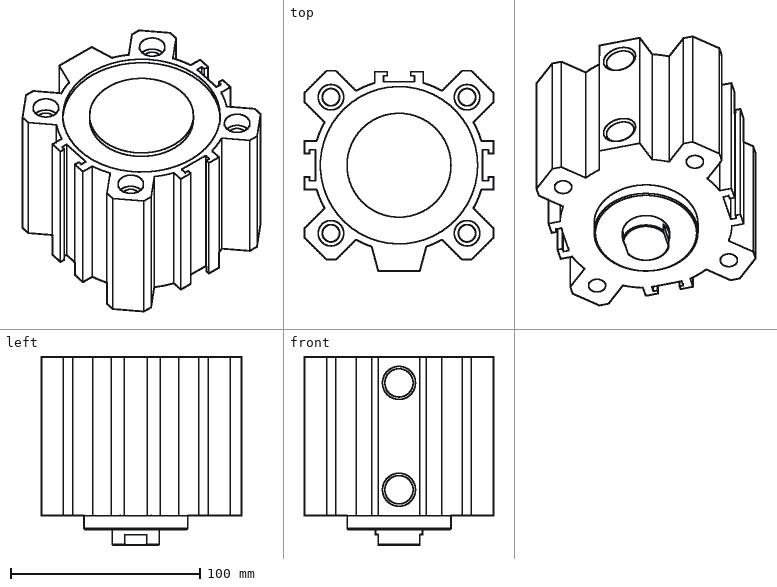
import cadquery as cq
import math


BODY_HEIGHT = 84.0
BARREL_DIAMETER = 91.0
BODY_WIDTH = 100.0
BODY_LENGTH = 106.0
HALF_WIDTH = BODY_WIDTH / 2

ARM_WIDTH = 23.5
ARM_REACH = 62.4
BOLT_SPACING = 72.0
BOLT_HOLE_DIAMETER = 9.0
COUNTERBORE_DIAMETER = 13.5
COUNTERBORE_DEPTH = 8.5

RAIL_WIDTH = 25.9
SLOT_WIDTH = 16.3
SLOT_MOUTH_WIDTH = 12.2
SLOT_FLOOR = 44.2
LIP_INNER_FACE = 47.3
BACK_RAIL_FACE = 49.5

PORT_FACE = BODY_LENGTH - HALF_WIDTH
PORT_FACE_WIDTH = 22.0
PORT_BLOCK_DRAFT = 15.0
PORT_DIAMETER = 14.9
PORT_MOUTH_DIAMETER = 17.5
PORT_CHAMFER = (PORT_MOUTH_DIAMETER - PORT_DIAMETER) / 2
PORT_DEPTH = 14.8
PORT_HEIGHTS = (13.7, 70.2)

RECESS_DIAMETER = 83.2
RECESS_DEPTH = 2.6
BOSS_DIAMETER = 55.0

COLLAR_HEIGHT = 7.5
COLLAR_CHAMFER = 0.7

ROD_DIAMETER = 25.0
ROD_PROJECTION = 8.1
ROD_LENGTH = COLLAR_HEIGHT + ROD_PROJECTION
ROD_CHAMFER = 0.5
ROD_TIP = -ROD_LENGTH
FLAT_SPACING = 22.0
FLAT_LENGTH = 5.5


def make_arms():
    """Two crossing diagonal bars, clipped to the square outline of the body."""
    arms = cq.Workplane("XY").rect(2 * ARM_REACH, ARM_WIDTH).extrude(BODY_HEIGHT)
    arms = arms.union(arms.rotate((0, 0, 0), (0, 0, 1), 90))
    arms = arms.rotate((0, 0, 0), (0, 0, 1), 45)
    envelope = cq.Workplane("XY").rect(BODY_WIDTH, BODY_WIDTH).extrude(BODY_HEIGHT)
    return arms.intersect(envelope)


def make_rail(outer_face, angle):
    """Rail block facing +X, from the axis out to outer_face, turned by angle about Z."""
    rail = (
        cq.Workplane("XY")
        .center(outer_face / 2, 0)
        .rect(outer_face, RAIL_WIDTH)
        .extrude(BODY_HEIGHT)
    )
    return rail.rotate((0, 0, 0), (0, 0, 1), angle)


def make_slot(angle):
    """T-slot cutter facing +X, turned by angle about Z."""
    slot_depth = LIP_INNER_FACE - SLOT_FLOOR
    mouth_depth = HALF_WIDTH - SLOT_FLOOR
    undercut = (
        cq.Workplane("XY")
        .center(SLOT_FLOOR + slot_depth / 2, 0)
        .rect(slot_depth, SLOT_WIDTH)
        .extrude(BODY_HEIGHT)
    )
    mouth = (
        cq.Workplane("XY")
        .center(SLOT_FLOOR + mouth_depth / 2, 0)
        .rect(mouth_depth, SLOT_MOUTH_WIDTH)
        .extrude(BODY_HEIGHT)
    )
    return undercut.union(mouth).rotate((0, 0, 0), (0, 0, 1), angle)


def make_port_block():
    """Tapered block running from the barrel axis out to the port face."""
    face_half = PORT_FACE_WIDTH / 2
    root_half = face_half + PORT_FACE * math.tan(math.radians(PORT_BLOCK_DRAFT))
    return (
        cq.Workplane("XY")
        .polyline([
            (-face_half, -PORT_FACE),
            (face_half, -PORT_FACE),
            (root_half, 0),
            (-root_half, 0),
        ])
        .close()
        .extrude(BODY_HEIGHT)
    )


def make_port(height):
    """Blind port cutter with a chamfered mouth, entering along +Y."""
    mouth_radius = PORT_MOUTH_DIAMETER / 2
    port_radius = PORT_DIAMETER / 2
    return (
        cq.Workplane("XY")
        .polyline([
            (0, -PORT_FACE),
            (mouth_radius, -PORT_FACE),
            (port_radius, -PORT_FACE + PORT_CHAMFER),
            (port_radius, -PORT_FACE + PORT_DEPTH),
            (0, -PORT_FACE + PORT_DEPTH),
        ])
        .close()
        .revolve(360, (0, 0), (0, 1))
        .translate((0, 0, height))
    )


def make_housing():
    body = cq.Workplane("XY").circle(BARREL_DIAMETER / 2).extrude(BODY_HEIGHT)
    body = body.union(make_arms()).union(make_port_block())

    rails = {0: HALF_WIDTH, 90: BACK_RAIL_FACE, 180: HALF_WIDTH}
    for angle, outer_face in rails.items():
        body = body.union(make_rail(outer_face, angle)).cut(make_slot(angle))

    recess = (
        cq.Workplane("XY")
        .workplane(offset=BODY_HEIGHT - RECESS_DEPTH)
        .circle(RECESS_DIAMETER / 2)
        .circle(BOSS_DIAMETER / 2)
        .extrude(RECESS_DEPTH)
    )
    body = body.cut(recess)

    body = (
        body.faces(">Z")
        .workplane(origin=(0, 0, BODY_HEIGHT))
        .rect(BOLT_SPACING, BOLT_SPACING, forConstruction=True)
        .vertices()
        .cboreHole(BOLT_HOLE_DIAMETER, COUNTERBORE_DIAMETER, COUNTERBORE_DEPTH)
    )

    for height in PORT_HEIGHTS:
        body = body.cut(make_port(height))

    collar = (
        cq.Workplane("XY")
        .circle(BOSS_DIAMETER / 2)
        .extrude(-COLLAR_HEIGHT)
        .faces("<Z")
        .chamfer(COLLAR_CHAMFER)
    )
    rod_passage = cq.Workplane("XY").circle(ROD_DIAMETER / 2).extrude(-COLLAR_HEIGHT)
    return body.union(collar).cut(rod_passage)


def make_rod():
    """Round rod seated in the collar, with two wrench flats at its tip."""
    rod = (
        cq.Workplane("XY")
        .circle(ROD_DIAMETER / 2)
        .extrude(-ROD_LENGTH)
        .faces("<Z")
        .chamfer(ROD_CHAMFER)
    )
    flats = (
        cq.Workplane("XY")
        .workplane(offset=ROD_TIP)
        .rect(2 * ROD_DIAMETER, 2 * ROD_DIAMETER)
        .rect(FLAT_SPACING, 2 * ROD_DIAMETER)
        .extrude(FLAT_LENGTH)
    )
    return rod.cut(flats)


housing = make_housing()
rod = make_rod()
result = cq.Compound.makeCompound([housing.val(), rod.val()])